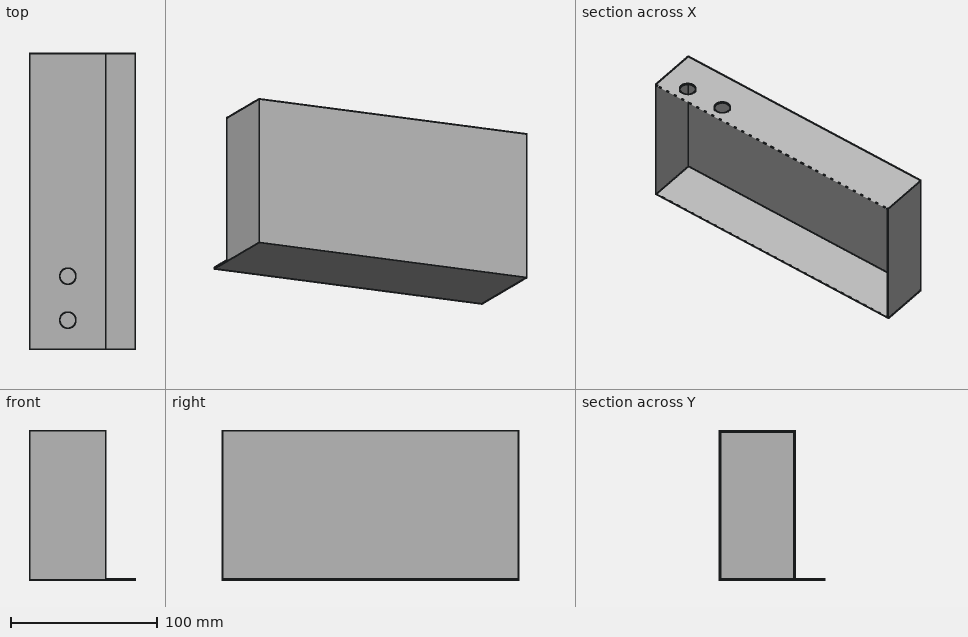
import cadquery as cq

sheet_thickness = 1.0
cavity_width = 50.0
cavity_length = 200.0
cavity_height = 100.0
box_width = cavity_width + 2 * sheet_thickness
box_length = cavity_length + 2 * sheet_thickness
box_height = cavity_height + 2 * sheet_thickness

flange_width = 20.0

hole_diameter = 11.0
hole_spacing = 30.0
first_hole_from_end = 20.0
hole_count = 2


def corner_block(width, length, height):
    """Block with its lowest X, Y and Z corner at the origin."""
    return cq.Workplane("XY").box(width, length, height, centered=False)


def make_enclosure():
    """Closed box with walls one sheet thick."""
    cavity = corner_block(cavity_width, cavity_length, cavity_height)
    cavity = cavity.translate((sheet_thickness, sheet_thickness, sheet_thickness))
    return corner_block(box_width, box_length, box_height).cut(cavity)


def make_flange():
    """Flat strip level with the floor of the box, running its full length."""
    strip = corner_block(flange_width, box_length, sheet_thickness)
    return strip.translate((box_width, 0, 0))


def make_top_holes():
    """Cutters through the top sheet, in a row on the box centreline."""
    centres = [
        (box_width / 2, first_hole_from_end + i * hole_spacing)
        for i in range(hole_count)
    ]
    top_sheet_underside = cq.Workplane("XY").workplane(offset=box_height - sheet_thickness)
    return top_sheet_underside.pushPoints(centres).circle(hole_diameter / 2).extrude(sheet_thickness)


result = make_enclosure().union(make_flange()).cut(make_top_holes())